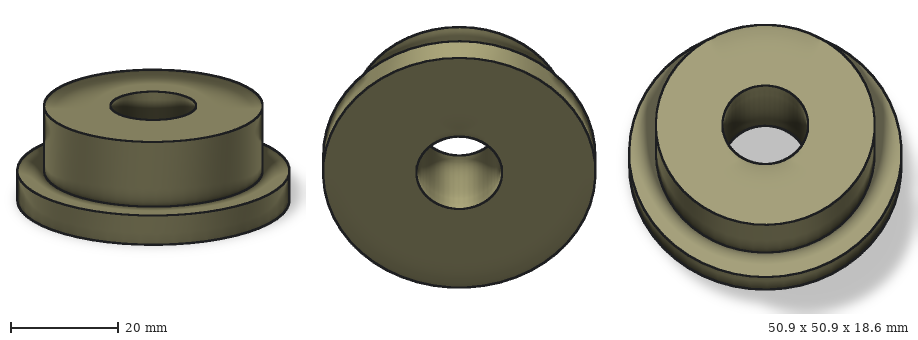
import cadquery as cq

flange_diameter = 50.86
hub_diameter = 40.86
bore_diameter = 16.0
total_height = 18.6
flange_thickness = 5.8
hub_height = total_height - flange_thickness


def make_flange():
    """Wide disc at the base, resting on the XY plane."""
    return cq.Workplane("XY").circle(flange_diameter / 2).extrude(flange_thickness)


def add_hub(body):
    """Narrower cylinder standing on top of the flange."""
    return body.faces(">Z").workplane().circle(hub_diameter / 2).extrude(hub_height)


def cut_bore(body):
    """Central hole through the hub and the flange."""
    return body.faces(">Z").workplane().hole(bore_diameter)


result = cut_bore(add_hub(make_flange()))